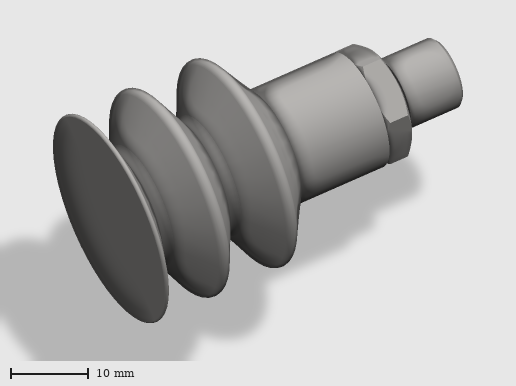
import cadquery as cq
import math

total_length = 50.0
fold_radius = 14.5
body_radius = 8.0

fold_stations = (9.0, 19.0)
neck_stations = (4.0, 14.0)
round_half_width = 0.8
fold_round_depth = 0.45
neck_round_depth = 0.4
bellows_end = 24.0

face_radius = 14.25
lip_edge_height = 0.25
lip_round_radius = 14.15
lip_round_height = 0.65

body_end = 37.0
hex_end = 41.0
hex_across_flats = 14.0
hex_chamfer_radius = 6.9
hex_chamfer_angle = 30.0
stem_radius = 9.75 / 2
undercut_radius = 8.55 / 2
undercut_end = 42.0
stem_chamfer = 0.5


def revolve_about_y(profile):
    return profile.close().revolve(360, (0, 0, 0), (0, 1, 0))


def add_round(profile, station, tip_radius, side_radius):
    """Run a cone to a rounded fold or neck and follow its arc."""
    return profile.lineTo(side_radius, station - round_half_width).threePointArc(
        (tip_radius, station), (side_radius, station + round_half_width)
    )


def make_cup():
    profile = (
        cq.Workplane("XY")
        .lineTo(face_radius, 0)
        .threePointArc((fold_radius, lip_edge_height), (lip_round_radius, lip_round_height))
    )
    for neck, fold in zip(neck_stations, fold_stations):
        profile = add_round(profile, neck, body_radius, body_radius + neck_round_depth)
        profile = add_round(profile, fold, fold_radius, fold_radius - fold_round_depth)
    profile = profile.lineTo(body_radius, bellows_end).lineTo(body_radius, body_end).lineTo(0, body_end)
    return revolve_about_y(profile)


def make_hex():
    """Hexagon with flats facing +X and -X, its corners chamfered at both ends."""
    corner_radius = hex_across_flats / 2 / math.cos(math.radians(30))
    corners = [
        (corner_radius * math.cos(math.radians(angle)), corner_radius * math.sin(math.radians(angle)))
        for angle in range(30, 390, 60)
    ]
    prism = cq.Workplane("XZ", origin=(0, hex_end, 0)).polyline(corners).close().extrude(hex_end - body_end)
    chamfer_length = (corner_radius - hex_chamfer_radius) * math.tan(math.radians(hex_chamfer_angle))
    envelope = (
        cq.Workplane("XY")
        .moveTo(0, body_end)
        .lineTo(hex_chamfer_radius, body_end)
        .lineTo(corner_radius, body_end + chamfer_length)
        .lineTo(corner_radius, hex_end - chamfer_length)
        .lineTo(hex_chamfer_radius, hex_end)
        .lineTo(0, hex_end)
    )
    return prism.intersect(revolve_about_y(envelope))


def make_stem():
    profile = (
        cq.Workplane("XY")
        .moveTo(0, hex_end)
        .lineTo(undercut_radius, hex_end)
        .lineTo(undercut_radius, undercut_end)
        .lineTo(stem_radius, undercut_end)
        .lineTo(stem_radius, total_length - stem_chamfer)
        .lineTo(stem_radius - stem_chamfer, total_length)
        .lineTo(0, total_length)
    )
    return revolve_about_y(profile)


result = make_cup().union(make_hex()).union(make_stem())